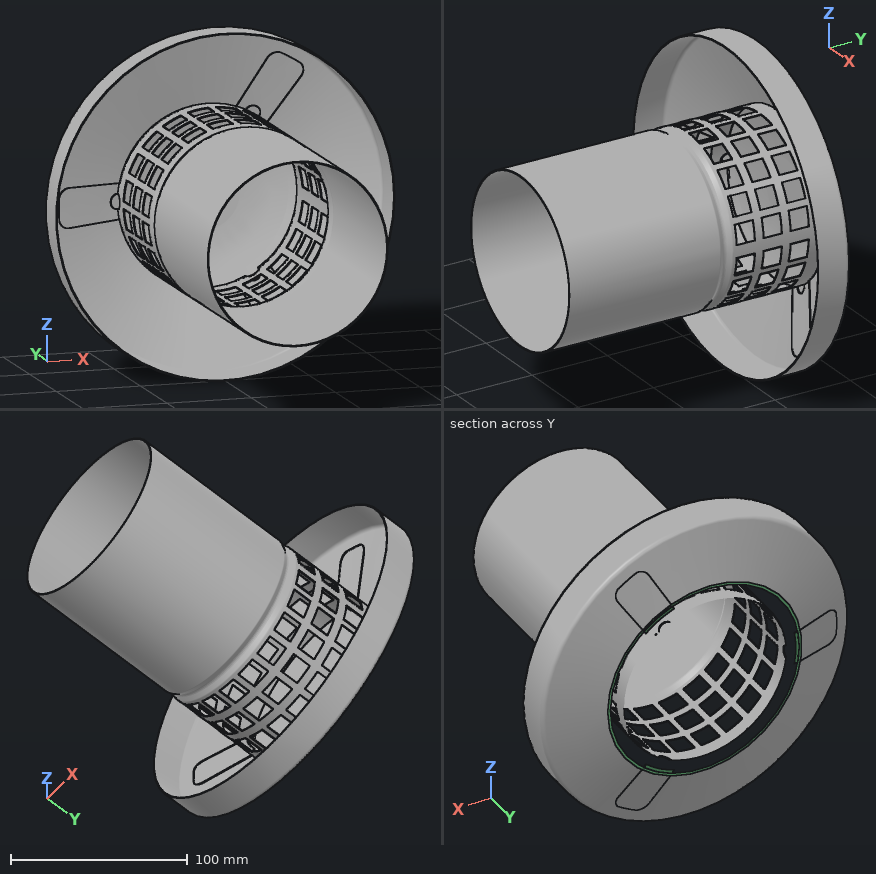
import cadquery as cq
import math


SHEET = 0.6
TOTAL_LENGTH = 176.5

CAP_RADIUS = 100.5
RIM_Y = 136.3
FLAT_RADIUS = 21.1
CROWN_RADIUS = 97.5
KNUCKLE_RADIUS = 3.0
CONE_ANGLE = math.radians(16.5)

PIPE_RADIUS = 53.5
PIPE_BORE = PIPE_RADIUS - SHEET
END_CLEARANCE = 0.8

BEAD_Y = 104.3
BEAD_DEPTH = 1.8
BEAD_HALF_MOUTH = 4.0
BEAD_HALF_FLOOR = 0.8
BEAD_BLEND = 1.6

WINDOW_SIZE = 12.0
WINDOW_ROWS = 3
FIRST_WINDOW_Y = 117.2
ROW_PITCH = 17.9
WINDOWS_PER_ROW = 20
WINDOW_PITCH = 17.8

TAB_ANGLES = (60, 180, 300)
TAB_END_RADIUS = 91.6
TAB_ROOT_WIDTH = 21.0
TAB_END_WIDTH = 23.7
TAB_CORNER_RADIUS = 6.5
RELIEF_RADIUS = 4.5

CONE_START_R = FLAT_RADIUS + CROWN_RADIUS * math.sin(CONE_ANGLE)
CONE_START_Y = TOTAL_LENGTH - CROWN_RADIUS * (1 - math.cos(CONE_ANGLE))


def cone_y(radius, depth):
    """Y of the cone surface lying `depth` below the outside of the cap, at a given radius."""
    outside = CONE_START_Y - (radius - CONE_START_R) * math.tan(CONE_ANGLE)
    return outside - depth / math.cos(CONE_ANGLE)


def arc_point(centre, radius, angle):
    """Point on an arc in the XY plane; the angle is measured from +Y toward +X."""
    return (centre[0] + radius * math.sin(angle), centre[1] + radius * math.cos(angle))


BEND_Y = cone_y(PIPE_RADIUS, 2 * SHEET)
PIPE_END_Y = cone_y(PIPE_RADIUS, SHEET) - END_CLEARANCE


def revolve_about_y(profile):
    return profile.close().revolve(360, (0, 0, 0), (0, 1, 0))


def cap_form(depth):
    """Solid bounded by the cap surface moved inward by `depth`, down to the rim plane."""
    crown_centre = (FLAT_RADIUS, TOTAL_LENGTH - CROWN_RADIUS)
    crown_radius = CROWN_RADIUS - depth
    knuckle_radius = KNUCKLE_RADIUS - depth
    knuckle_centre_r = CAP_RADIUS - KNUCKLE_RADIUS
    knuckle_centre = (knuckle_centre_r, cone_y(knuckle_centre_r, KNUCKLE_RADIUS))
    knuckle_middle = (CONE_ANGLE + math.pi / 2) / 2
    profile = (
        cq.Workplane("XY")
        .moveTo(0, RIM_Y)
        .lineTo(0, TOTAL_LENGTH - depth)
        .lineTo(FLAT_RADIUS, TOTAL_LENGTH - depth)
        .threePointArc(arc_point(crown_centre, crown_radius, CONE_ANGLE / 2),
                       arc_point(crown_centre, crown_radius, CONE_ANGLE))
        .lineTo(*arc_point(knuckle_centre, knuckle_radius, CONE_ANGLE))
        .threePointArc(arc_point(knuckle_centre, knuckle_radius, knuckle_middle),
                       arc_point(knuckle_centre, knuckle_radius, math.pi / 2))
        .lineTo(CAP_RADIUS - depth, RIM_Y)
    )
    return revolve_about_y(profile)


def make_cap():
    return cap_form(0).cut(cap_form(SHEET))


def make_flanged_tube():
    """Thin tube with the rolled bead and an unbroken conical flange lying under the cap."""
    outside = [
        (PIPE_RADIUS, 0),
        (PIPE_RADIUS, BEAD_Y - BEAD_HALF_MOUTH),
        (PIPE_RADIUS - BEAD_DEPTH, BEAD_Y - BEAD_HALF_FLOOR),
        (PIPE_RADIUS - BEAD_DEPTH, BEAD_Y + BEAD_HALF_FLOOR),
        (PIPE_RADIUS, BEAD_Y + BEAD_HALF_MOUTH),
        (PIPE_RADIUS, BEND_Y),
    ]
    flange = [
        (TAB_END_RADIUS, cone_y(TAB_END_RADIUS, 2 * SHEET)),
        (TAB_END_RADIUS, cone_y(TAB_END_RADIUS, SHEET)),
        (PIPE_BORE, cone_y(PIPE_BORE, SHEET)),
    ]
    bead_and_bore = [(radius - SHEET, y) for radius, y in reversed(outside[:-1])]
    tube = revolve_about_y(cq.Workplane("XY").polyline(outside + flange + bead_and_bore))
    bead_zone = cq.selectors.BoxSelector(
        (-PIPE_RADIUS, BEAD_Y - BEAD_HALF_MOUTH - SHEET, -PIPE_RADIUS),
        (PIPE_RADIUS, BEAD_Y + BEAD_HALF_MOUTH + SHEET, PIPE_RADIUS),
    )
    return tube.edges("%CIRCLE").edges(bead_zone).fillet(BEAD_BLEND)


def make_windows():
    """Radial square cutters, one for each window."""
    first_angle = 180 - WINDOW_PITCH * (WINDOWS_PER_ROW - 1) / 2
    cutters = []
    for row in range(WINDOW_ROWS):
        cutter = (
            cq.Workplane("XY")
            .box(PIPE_RADIUS, WINDOW_SIZE, WINDOW_SIZE)
            .translate((PIPE_RADIUS, FIRST_WINDOW_Y + row * ROW_PITCH, 0))
        )
        for column in range(WINDOWS_PER_ROW):
            angle = first_angle + column * WINDOW_PITCH
            cutters.append(cutter.rotate((0, 0, 0), (0, 1, 0), angle).val())
    return cq.Compound.makeCompound(cutters)


def make_tab_outline():
    """Prism over the outline of a tab along +X, rounded at its outer corners."""
    root_r = PIPE_BORE * math.cos(math.asin(TAB_ROOT_WIDTH / 2 / PIPE_BORE)) - SHEET
    return (
        cq.Workplane("XZ")
        .polyline([
            (root_r, -TAB_ROOT_WIDTH / 2),
            (TAB_END_RADIUS, -TAB_END_WIDTH / 2),
            (TAB_END_RADIUS, TAB_END_WIDTH / 2),
            (root_r, TAB_ROOT_WIDTH / 2),
        ])
        .close()
        .extrude(-TOTAL_LENGTH)
        .edges("|Y and >X")
        .fillet(TAB_CORNER_RADIUS)
    )


def make_flange_waste():
    """Everything beyond the pipe wall and the pipe end, except where the tabs stand."""
    waste = revolve_about_y(
        cq.Workplane("XY").polyline([
            (0, PIPE_END_Y),
            (PIPE_RADIUS, PIPE_END_Y),
            (PIPE_RADIUS, RIM_Y),
            (CAP_RADIUS, RIM_Y),
            (CAP_RADIUS, TOTAL_LENGTH),
            (0, TOTAL_LENGTH),
        ])
    )
    outline = make_tab_outline()
    for angle in TAB_ANGLES:
        waste = waste.cut(outline.rotate((0, 0, 0), (0, 1, 0), -angle))
    return waste


def make_relief():
    """Ball centred on the bend of a tab along +X; it opens both the tab and the wall."""
    return cq.Workplane("XZ").sphere(RELIEF_RADIUS).translate((PIPE_RADIUS, BEND_Y, 0))


def make_pipe():
    pipe = make_flanged_tube().cut(make_flange_waste())
    pipe = pipe.cut(cq.Workplane(make_windows()))
    relief = make_relief()
    for angle in TAB_ANGLES:
        pipe = pipe.cut(relief.rotate((0, 0, 0), (0, 1, 0), -angle))
    return pipe


cap = make_cap()
pipe = make_pipe()

result = cq.Compound.makeCompound([cap.solids().val(), pipe.solids().val()])